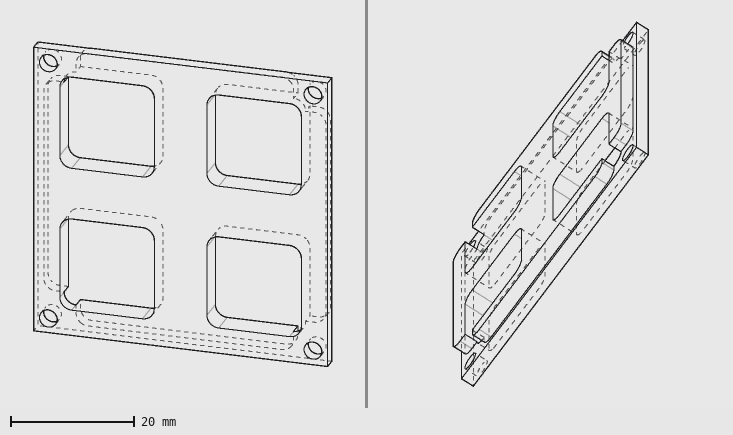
import cadquery as cq

plate_side = 50.0
total_depth = 4.7
plate_depth = total_depth / 2

pad_side = 48.0
pad_depth = total_depth - plate_depth
notch_side = 5.5
corner_radius = 2.0

window_side = 16.05
window_pitch = 25.0

hole_diameter = 3.0
hole_pitch = 45.0


def square_block(side, depth, start=0.0):
    """Square block centred in X and Z, reaching from Y = start to start + depth."""
    block = cq.Workplane("XY").box(side, depth, side, centered=(True, False, True))
    return block.translate((0, start, 0))


def corner_positions(pitch):
    """X and Z positions at the four corners of a centred square."""
    return [(x * pitch / 2, z * pitch / 2) for x in (-1, 1) for z in (-1, 1)]


def make_pad():
    """Square pad with its corners notched away around the screw holes."""
    pad = square_block(pad_side, pad_depth, plate_depth)
    for x, z in corner_positions(pad_side - notch_side):
        notch = square_block(notch_side, pad_depth, plate_depth)
        pad = pad.cut(notch.translate((x, 0, z)))
    return pad.edges("|Y").fillet(corner_radius)


def make_window():
    """Rounded square cutter through the full depth."""
    return square_block(window_side, total_depth).edges("|Y").fillet(corner_radius)


def make_hole():
    """Round cutter through the plate, along Y."""
    return cq.Workplane("XZ").circle(hole_diameter / 2).extrude(-plate_depth)


result = square_block(plate_side, plate_depth).union(make_pad())

for x, z in corner_positions(window_pitch):
    result = result.cut(make_window().translate((x, 0, z)))

for x, z in corner_positions(hole_pitch):
    result = result.cut(make_hole().translate((x, 0, z)))